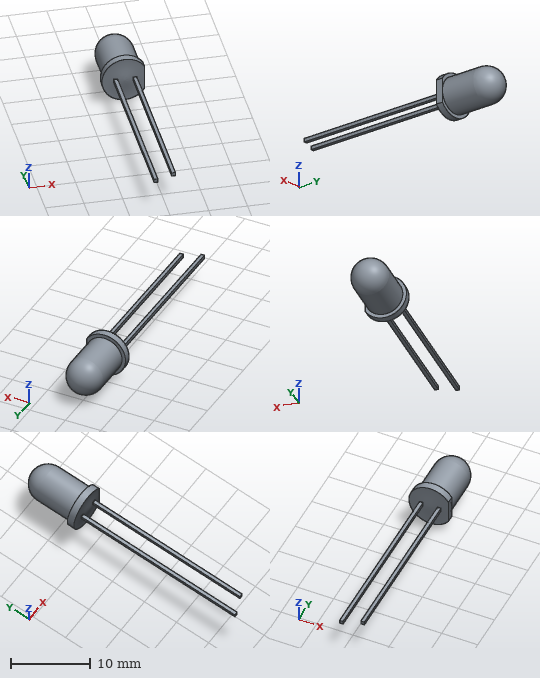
import cadquery as cq


total_length = 32.7
lens_length = 8.7
lens_radius = 5.0 / 2
flange_radius = 6.0 / 2
flange_thickness = 1.0
rear_bulge = 0.2
bulge_radius = 2.25
flat_offset = lens_radius

lead_side = 0.5
lead_pitch = 2.5
long_lead_length = total_length - lens_length
lead_step = 1.0
short_lead_length = long_lead_length - lead_step


def make_lead(x, length):
    """Square lead running from y = 0 toward -Y."""
    return (
        cq.Workplane("XY")
        .box(lead_side, length, lead_side, centered=(True, False, True))
        .translate((x, -length, 0))
    )


def make_lens(leads):
    """Domed barrel with a flatted flange and a recess for each lead."""
    dome_start = lens_length - lens_radius
    dome_mid = lens_radius * 0.5**0.5
    profile = (
        cq.Workplane("XY")
        .moveTo(flange_radius, 0)
        .lineTo(flange_radius, flange_thickness)
        .lineTo(lens_radius, flange_thickness)
        .lineTo(lens_radius, dome_start)
        .threePointArc((dome_mid, dome_start + dome_mid), (0, lens_length))
        .lineTo(0, -rear_bulge)
    )
    inflection = (bulge_radius / 2, -rear_bulge / 2)
    profile = profile.spline(
        [inflection, (bulge_radius, 0), (flange_radius, 0)],
        tangents=[(1, 0), (1, 0)],
        includeCurrent=True,
    ).close()
    lens = profile.revolve(360, (0, 0, 0), (0, 1, 0))

    flat_envelope = (
        cq.Workplane("XY")
        .box(flange_radius + flat_offset, 2 * total_length, 2 * flange_radius, centered=(False, True, True))
        .translate((-flange_radius, 0, 0))
    )
    lens = lens.intersect(flat_envelope)

    for lead in leads:
        lens = lens.cut(lead)
    return lens.solids()


leads = [
    make_lead(x, length)
    for x, length in [(-lead_pitch / 2, long_lead_length), (lead_pitch / 2, short_lead_length)]
]
lens = make_lens(leads)

result = cq.Compound.makeCompound([lens.val(), *[lead.val() for lead in leads]])